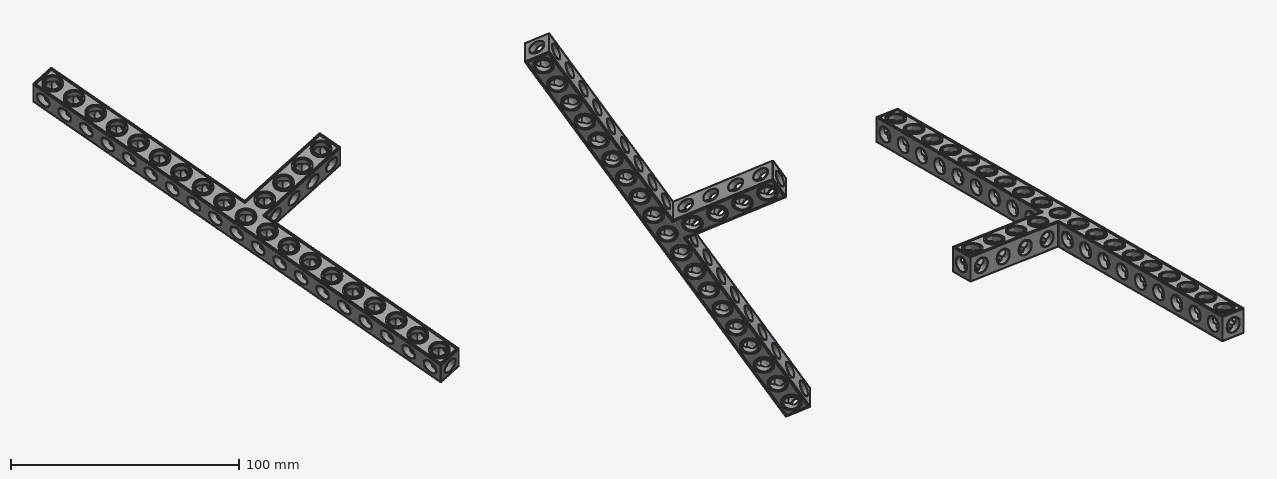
import cadquery as cq


length = 237.5
bar_holes = 19
arm_holes = 4
arm_index = 9
pitch = length / bar_holes

collar_diameter = 7.5
collar_wall = 0.3
bore_diameter = collar_diameter - 2 * collar_wall
recess_diameter = 9.3
recess_depth = 0.5

side_collar_height = 0.12
corner_bevel = 0.2
face_bevel = 0.21
lip_width = 1.0
lip_height = 0.2

mid = pitch / 2
arm_x = (arm_index + 0.5) * pitch
arm_reach = (arm_holes + 1) * pitch
bar_x = [(i + 0.5) * pitch for i in range(bar_holes)]
arm_y = [(i + 1.5) * pitch for i in range(arm_holes)]
vertical_holes = [(x, mid) for x in bar_x] + [(arm_x, y) for y in arm_y]


def tee(inset, base, height):
    """T-shaped slab, drawn in by inset all around."""
    plane = cq.Workplane("XY", origin=(0, 0, base))
    width = pitch - 2 * inset
    bar = plane.center(length / 2, mid).rect(length - 2 * inset, width).extrude(height)
    arm = plane.center(arm_x, arm_reach / 2).rect(width, arm_reach - 2 * inset).extrude(height)
    return bar.union(arm)


def along_x(places, diameter, start, depth):
    """Cylinders along X at the given Y places."""
    plane = cq.Workplane("YZ", origin=(start, 0, 0))
    return plane.pushPoints([(y, mid) for y in places]).circle(diameter / 2).extrude(depth)


def along_y(places, diameter, start, depth):
    """Cylinders along Y at the given X places."""
    plane = cq.Workplane("XZ", origin=(0, start, 0))
    return plane.pushPoints([(x, mid) for x in places]).circle(diameter / 2).extrude(-depth)


def along_z(diameter, base, height):
    """Cylinders along Z at every vertical hole."""
    plane = cq.Workplane("XY", origin=(0, 0, base))
    return plane.pushPoints(vertical_holes).circle(diameter / 2).extrude(height)


def add_side_collars(body):
    """Low collars around the hole mouths on the sides and ends."""
    height = side_collar_height
    collars = [
        along_y(bar_x, collar_diameter, 0, height),
        along_y([x for x in bar_x if x != arm_x], collar_diameter, pitch - height, height),
        along_y([arm_x], collar_diameter, arm_reach - height, height),
        along_x([mid], collar_diameter, 0, height),
        along_x([mid], collar_diameter, length - height, height),
        along_x(arm_y, collar_diameter, arm_x - mid, height),
        along_x(arm_y, collar_diameter, arm_x + mid - height, height),
    ]
    for collar in collars:
        body = body.union(collar)
    return body


body = tee(side_collar_height, 0, pitch)
body = body.edges("|Z").chamfer(corner_bevel)
body = body.faces("|Z").edges().chamfer(face_bevel)

for face_z, inward in ((0, 1), (pitch, -1)):
    body = body.cut(tee(lip_width, face_z, inward * lip_height))
    body = body.cut(along_z(recess_diameter, face_z, inward * recess_depth))

body = body.union(along_z(collar_diameter, 0, pitch))
body = add_side_collars(body)

body = body.cut(along_z(bore_diameter, 0, pitch))
body = body.cut(along_y(bar_x, bore_diameter, 0, arm_reach))
body = body.cut(along_x([mid] + arm_y, bore_diameter, 0, length))

result = body